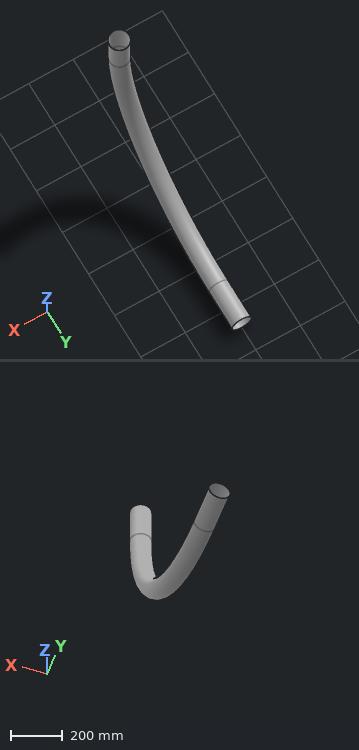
import cadquery as cq

overall_size = 984.0
outer_diameter = 89.0
inner_diameter = 86.0
leg_length = 177.0

bend_radius = overall_size - outer_diameter / 2 - leg_length

centreline = (
    cq.Workplane("YZ")
    .moveTo(0, leg_length)
    .lineTo(0, 0)
    .radiusArc((bend_radius, -bend_radius), -bend_radius)
    .lineTo(bend_radius + leg_length, -bend_radius)
)

result = (
    cq.Workplane("XY", origin=(0, 0, leg_length))
    .circle(outer_diameter / 2)
    .circle(inner_diameter / 2)
    .sweep(centreline)
)